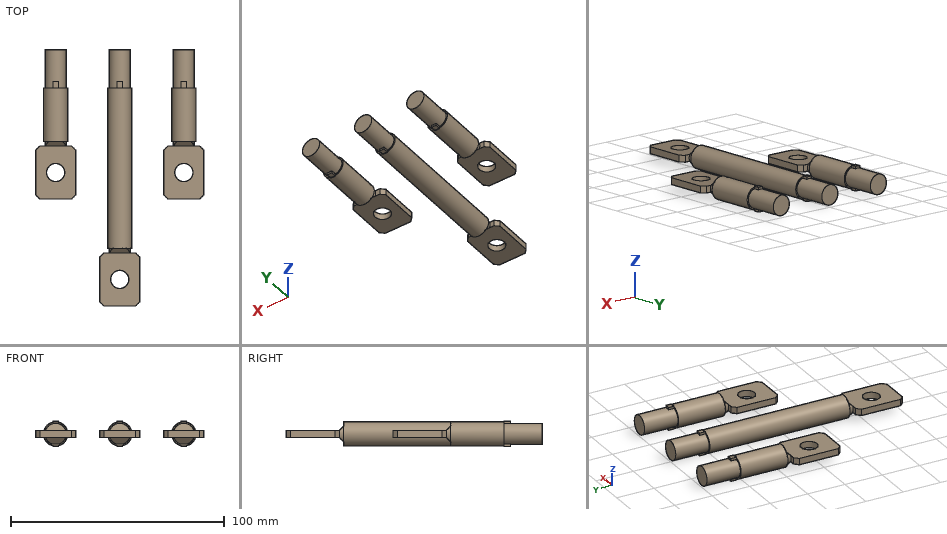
import cadquery as cq

ROD_PITCH = 30.0
TOTAL_LENGTH = 120.0
LENGTH_DIFFERENCE = 50.0

TIP_DIAMETER = 10.0
TIP_LENGTH = 17.9
SHAFT_DIAMETER = 11.4
NECK_LENGTH = 2.0
SLOPE_RISE = 3.1

KEY_WIDTH = 2.6
KEY_LENGTH = 3.0
KEY_HEIGHT = 12.0

TAB_WIDTH = 18.8
TAB_LENGTH = 25.0
TAB_THICKNESS = 3.4
TAB_CHAMFER = 2.0
TAB_HOLE_DIAMETER = 8.4

BACK_Y = TOTAL_LENGTH / 2
SHOULDER_Y = BACK_Y - TIP_LENGTH


def cylinder_along_y(diameter, back_y, front_y):
    """Round bar running from back_y towards -Y, ending at front_y."""
    return (
        cq.Workplane("XZ", origin=(0, back_y, 0))
        .circle(diameter / 2)
        .extrude(back_y - front_y)
    )


def make_keys():
    """Bar through the tip that leaves one key above and one below it."""
    return cq.Workplane("XY").box(KEY_WIDTH, KEY_LENGTH, KEY_HEIGHT).translate(
        (0, SHOULDER_Y + KEY_LENGTH / 2, 0)
    )


def make_neck(shaft_end_y, tab_back_y):
    """Round neck joining the shaft to the tab."""
    return cylinder_along_y(TIP_DIAMETER, shaft_end_y, tab_back_y)


def make_slope_cut(tab_back_y, side):
    """Cutter that leaves a 45 degree slope above (side=1) or below (side=-1) the tab.

    The slope runs past the neck into the end of the shaft. There the cutter has the
    neck diameter, so a thin round wall of the shaft stays around it.
    """
    slope_start_z = TAB_THICKNESS / 2
    slope_end_z = slope_start_z + SLOPE_RISE
    slope_end_y = tab_back_y + SLOPE_RISE
    shaft_end_y = tab_back_y + NECK_LENGTH
    shaft_end_z = slope_start_z + NECK_LENGTH
    clear_z = SHAFT_DIAMETER / 2

    recess = (
        cq.Workplane("YZ")
        .moveTo(shaft_end_y, side * shaft_end_z)
        .lineTo(slope_end_y, side * slope_end_z)
        .lineTo(shaft_end_y, side * slope_end_z)
        .close()
        .extrude(SHAFT_DIAMETER / 2, both=True)
        .intersect(cylinder_along_y(TIP_DIAMETER, slope_end_y, tab_back_y))
    )
    neck_cut = (
        cq.Workplane("YZ")
        .moveTo(tab_back_y, side * slope_start_z)
        .lineTo(shaft_end_y, side * shaft_end_z)
        .lineTo(shaft_end_y, side * clear_z)
        .lineTo(tab_back_y, side * clear_z)
        .close()
        .extrude(SHAFT_DIAMETER / 2, both=True)
    )
    return neck_cut.union(recess)


def make_tab(tab_back_y):
    """Flat terminal plate with chamfered corners and a bolt hole."""
    return (
        cq.Workplane("XY", origin=(0, tab_back_y - TAB_LENGTH / 2, 0))
        .box(TAB_WIDTH, TAB_LENGTH, TAB_THICKNESS)
        .edges("|Z")
        .chamfer(TAB_CHAMFER)
        .faces(">Z")
        .workplane()
        .hole(TAB_HOLE_DIAMETER)
    )


def make_rod(length, x):
    """One contact rod of the given overall length, centred on x."""
    tab_back_y = BACK_Y - length + TAB_LENGTH
    shaft_end_y = tab_back_y + NECK_LENGTH
    rod = (
        cylinder_along_y(TIP_DIAMETER, BACK_Y, SHOULDER_Y)
        .union(cylinder_along_y(SHAFT_DIAMETER, SHOULDER_Y, shaft_end_y))
        .union(make_keys())
        .union(make_neck(shaft_end_y, tab_back_y))
        .union(make_tab(tab_back_y))
    )
    for side in (1, -1):
        rod = rod.cut(make_slope_cut(tab_back_y, side))
    return rod.translate((x, 0, 0))


long_rod = make_rod(TOTAL_LENGTH, 0)
short_rods = [make_rod(TOTAL_LENGTH - LENGTH_DIFFERENCE, side * ROD_PITCH) for side in (-1, 1)]

result = cq.Compound.makeCompound([long_rod.val(), *[rod.val() for rod in short_rods]])